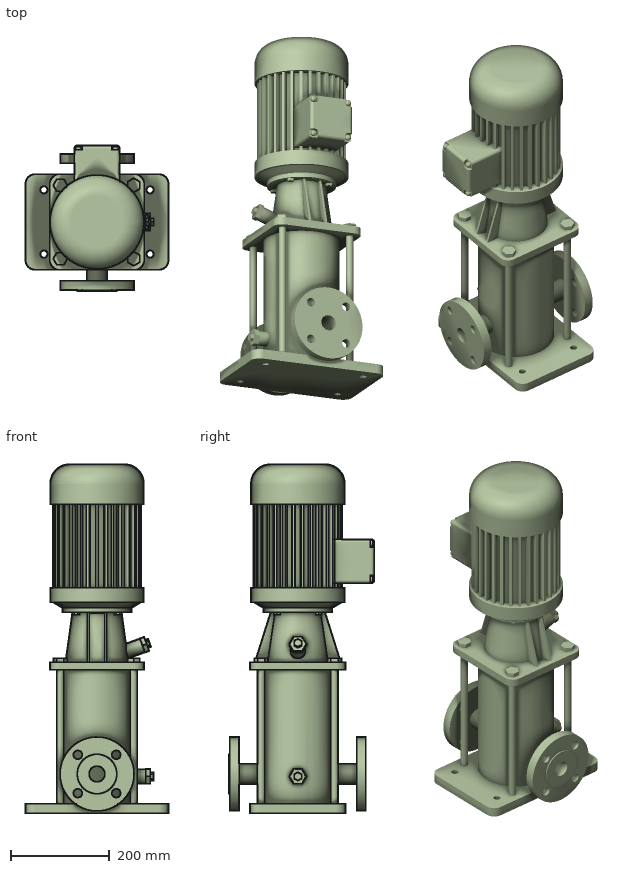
import cadquery as cq
import math

BASE_TOP = 20.0
PLATE_BOTTOM = 290.5
PLATE_TOP = 306.0
ADAPTER_TOP = 407.0
MOTOR_FLANGE_TOP = 416.5
BELL_BOTTOM = 427.0
BELL_TOP = 457.0
COVER_BOTTOM = 626.0
TOTAL_HEIGHT = 707.0

BASE_LENGTH = 290.0
PLATE_LENGTH = 191.0
PLATE_WIDTH = 194.0
PLATE_CORNER_RADIUS = 20.0
BASE_HOLE_DIA = 14.0
BASE_HOLE_X = 107.5
BASE_HOLE_Y = 65.0

CASING_DIA = 155.0
ROD_DIA = 15.0
ROD_OFFSET = 74.0
HEX_ACROSS_FLATS = 25.0
ROD_HEAD_HEIGHT = 8.5

PORT_HEIGHT = 80.0
FLANGE_FACE = 138.0
FLANGE_DIA = 150.0
FLANGE_THICKNESS = 19.0
RAISED_FACE_DIA = 80.0
RAISED_FACE_HEIGHT = 2.0
PIPE_DIA = 42.0
BORE_DIA = 32.0
FLANGE_HOLE_DIA = 18.0
FLANGE_HOLE_OFFSET = 39.0

ADAPTER_BOTTOM_RADIUS = 66.5
ADAPTER_TOP_RADIUS = 50.0
RIB_THICKNESS = 4.0
RIB_OFFSET = 18.0
RIB_BOTTOM_REACH = 87.0
RIB_TOP_REACH = 55.0
CHANNEL_DEPTH = 35.0
ADAPTER_BOLT_OFFSET = 42.5
ADAPTER_BOLT_FLATS = 13.0
ADAPTER_BOLT_HEIGHT = 5.0

MOTOR_DIA = 190.0
MOTOR_FLANGE_DIA = 140.0
BELL_CONE_TOP_DIA = 177.0
COVER_FILLET = 40.0
FIN_COUNT = 30
FIN_THICKNESS = 6.0
FIN_TIP_RADIUS = 90.0
FIN_ROOT_RADIUS = 77.0

BOX_WIDTH = 92.0
BOX_REACH = 155.0
BOX_BOTTOM = 466.0
BOX_TOP = 555.0
BOX_FILLET = 6.5
BOX_NOTCH_SIZE = 16.0
BOX_NOTCH_DEPTH = 8.5
BOX_NOTCH_RADIUS = 7.0
BOX_SCREW_DIA = 11.0
BOX_SCREW_CHAMFER = 3.0

PLUG_NECK_DIA = 30.0
PLUG_HEX_FLATS = 30.5
PLUG_HEX_HEIGHT = 9.0
PLUG_TIP_FLATS = 15.0
PLUG_TIP_HEIGHT = 6.5
DRAIN_HEIGHT = 75.0
DRAIN_NECK_END = 99.0
VENT_TILT = 20.0
VENT_NECK_END = (92.0, 340.0)
VENT_NECK_LENGTH = 56.5


def cylinder(diameter, bottom, top):
    return cq.Workplane("XY").workplane(offset=bottom).circle(diameter / 2).extrude(top - bottom)


def hexagon(across_flats, bottom, height):
    across_corners = across_flats / math.cos(math.radians(30))
    return cq.Workplane("XY").workplane(offset=bottom).polygon(6, across_corners).extrude(height)


def corner_points(x, y):
    return [(sx * x, sy * y) for sx in (-1, 1) for sy in (-1, 1)]


def rounded_plate(length, bottom, top):
    plate = cq.Workplane("XY").workplane(offset=bottom).rect(length, PLATE_WIDTH).extrude(top - bottom)
    return plate.edges("|Z").fillet(PLATE_CORNER_RADIUS)


def base():
    holes = (
        cq.Workplane("XY")
        .pushPoints(corner_points(BASE_HOLE_X, BASE_HOLE_Y))
        .circle(BASE_HOLE_DIA / 2)
        .extrude(BASE_TOP)
    )
    return rounded_plate(BASE_LENGTH, 0, BASE_TOP).cut(holes)


def tie_rods():
    """Four rods between the plates; the hex heads on the +X side are turned by 30 degrees."""
    rods = cq.Workplane("XY")
    for x, y in corner_points(ROD_OFFSET, ROD_OFFSET):
        turn = 30 if x > 0 else 0
        head = hexagon(HEX_ACROSS_FLATS, PLATE_TOP, ROD_HEAD_HEIGHT).rotate((0, 0, 0), (0, 0, 1), turn)
        rod = cylinder(ROD_DIA, BASE_TOP, PLATE_TOP).union(head)
        rods = rods.add(rod.translate((x, y, 0)))
    return rods


def port(raised_face_height):
    """Flanged pipe pointing up +Z from the origin, bored through."""
    end = FLANGE_FACE + raised_face_height
    body = cylinder(PIPE_DIA, 0, FLANGE_FACE)
    body = body.union(cylinder(FLANGE_DIA, FLANGE_FACE - FLANGE_THICKNESS, FLANGE_FACE))
    if raised_face_height > 0:
        body = body.union(cylinder(RAISED_FACE_DIA, FLANGE_FACE, end))
    bolt_holes = (
        cq.Workplane("XY")
        .pushPoints(corner_points(FLANGE_HOLE_OFFSET, FLANGE_HOLE_OFFSET))
        .circle(FLANGE_HOLE_DIA / 2)
        .extrude(end)
    )
    return body.cut(bolt_holes).cut(cylinder(BORE_DIA, 0, end))


def ports():
    """Front port with a raised sealing face and a plain-faced back port."""
    front = port(RAISED_FACE_HEIGHT).rotate((0, 0, 0), (1, 0, 0), 90)
    back = port(0).rotate((0, 0, 0), (1, 0, 0), -90)
    return front.add(back).translate((0, 0, PORT_HEIGHT))


def rib_block():
    """Tapered block spanning front to back, whose outer cheeks are the ribs."""
    return (
        cq.Workplane("YZ")
        .polyline([
            (-RIB_BOTTOM_REACH, PLATE_TOP),
            (RIB_BOTTOM_REACH, PLATE_TOP),
            (RIB_TOP_REACH, ADAPTER_TOP),
            (-RIB_TOP_REACH, ADAPTER_TOP),
        ])
        .close()
        .extrude(RIB_OFFSET + RIB_THICKNESS / 2, both=True)
    )


def rib_channel():
    """Cutter for the back channel, sunk square to the sloping edge and so dipping into the plate."""
    slope_angle = math.atan2(RIB_BOTTOM_REACH - RIB_TOP_REACH, ADAPTER_TOP - PLATE_TOP)
    inward = -CHANNEL_DEPTH * math.cos(slope_angle)
    down = -CHANNEL_DEPTH * math.sin(slope_angle)
    return (
        cq.Workplane("YZ")
        .polyline([
            (RIB_BOTTOM_REACH, PLATE_TOP),
            (RIB_TOP_REACH, ADAPTER_TOP),
            (RIB_TOP_REACH + inward, ADAPTER_TOP + down),
            (RIB_BOTTOM_REACH + inward, PLATE_TOP + down),
        ])
        .close()
        .extrude(RIB_OFFSET - RIB_THICKNESS / 2, both=True)
    )


def adapter():
    """Upper plate with a conical lantern and a pair of sloping ribs on its front and back."""
    channel = rib_channel()
    body = rounded_plate(PLATE_LENGTH, PLATE_BOTTOM, PLATE_TOP).union(rib_block())
    body = body.cut(channel).cut(channel.mirror("XZ"))
    cone = (
        cq.Workplane("XZ")
        .moveTo(0, PLATE_BOTTOM)
        .lineTo(ADAPTER_BOTTOM_RADIUS, PLATE_BOTTOM)
        .lineTo(ADAPTER_TOP_RADIUS, ADAPTER_TOP)
        .lineTo(0, ADAPTER_TOP)
        .close()
        .revolve(360, (0, 0), (0, 1))
    )
    body = body.union(cone)
    bolt = hexagon(ADAPTER_BOLT_FLATS, ADAPTER_TOP - ADAPTER_BOLT_HEIGHT, ADAPTER_BOLT_HEIGHT)
    for x, y in corner_points(ADAPTER_BOLT_OFFSET, ADAPTER_BOLT_OFFSET):
        body = body.union(bolt.translate((x, y, 0)))
    return body


def motor():
    """Flange, bell, finned barrel and domed fan cover."""
    radius = MOTOR_DIA / 2
    bell = (
        cq.Workplane("XZ")
        .moveTo(0, ADAPTER_TOP)
        .lineTo(MOTOR_FLANGE_DIA / 2, ADAPTER_TOP)
        .lineTo(MOTOR_FLANGE_DIA / 2, MOTOR_FLANGE_TOP)
        .lineTo(BELL_CONE_TOP_DIA / 2, BELL_BOTTOM)
        .lineTo(radius, BELL_BOTTOM)
        .lineTo(radius, BELL_TOP)
        .lineTo(0, BELL_TOP)
        .close()
        .revolve(360, (0, 0), (0, 1))
    )
    cover = cylinder(MOTOR_DIA, COVER_BOTTOM, TOTAL_HEIGHT).faces(">Z").edges().fillet(COVER_FILLET)
    barrel = cylinder(2 * FIN_ROOT_RADIUS, BELL_TOP, COVER_BOTTOM)
    fin_span = FIN_TIP_RADIUS - FIN_ROOT_RADIUS / 2
    fins = (
        cq.Workplane("XY")
        .workplane(offset=BELL_TOP)
        .polarArray(FIN_TIP_RADIUS - fin_span / 2, 90, 360, FIN_COUNT)
        .rect(fin_span, FIN_THICKNESS)
        .extrude(COVER_BOTTOM - BELL_TOP)
    )
    return bell.union(barrel.union(fins)).union(cover)


def terminal_box():
    """Rounded box with a chamfered screw head in a notch at each corner of its lid."""
    height = BOX_TOP - BOX_BOTTOM
    box = cq.Workplane("XY").box(BOX_WIDTH, height, BOX_REACH, centered=(True, True, False))
    box = box.edges("|Z or >Z").fillet(BOX_FILLET)
    notch_floor = BOX_REACH - BOX_NOTCH_DEPTH
    for x, y in corner_points(BOX_WIDTH / 2, height / 2):
        notch = (
            cq.Workplane("XY")
            .workplane(offset=notch_floor)
            .center(x, y)
            .rect(2 * BOX_NOTCH_SIZE, 2 * BOX_NOTCH_SIZE)
            .extrude(BOX_NOTCH_DEPTH)
            .edges("|Z")
            .fillet(BOX_NOTCH_RADIUS)
        )
        inset = BOX_NOTCH_SIZE / 2
        screw = cylinder(BOX_SCREW_DIA, notch_floor, BOX_REACH).faces(">Z").chamfer(BOX_SCREW_CHAMFER)
        screw = screw.translate((x - math.copysign(inset, x), y - math.copysign(inset, y), 0))
        box = box.cut(notch).union(screw)
    return box.rotate((0, 0, 0), (1, 0, 0), -90).translate((0, 0, BOX_BOTTOM + height / 2))


def plug(neck_length):
    """Neck, hexagon and small hexagonal tip along +X; the neck ends at the origin."""
    body = cylinder(PLUG_NECK_DIA, -neck_length, 0)
    body = body.union(hexagon(PLUG_HEX_FLATS, 0, PLUG_HEX_HEIGHT).rotate((0, 0, 0), (0, 0, 1), 30))
    body = body.union(hexagon(PLUG_TIP_FLATS, PLUG_HEX_HEIGHT, PLUG_TIP_HEIGHT))
    return body.rotate((0, 0, 0), (0, 1, 0), 90)


def drain_plug():
    return plug(DRAIN_NECK_END).translate((DRAIN_NECK_END, 0, DRAIN_HEIGHT))


def vent_plug():
    x, z = VENT_NECK_END
    return plug(VENT_NECK_LENGTH).rotate((0, 0, 0), (0, 1, 0), -VENT_TILT).translate((x, 0, z))


result = base()
result = result.union(ports())
result = result.union(tie_rods())
result = result.union(cylinder(CASING_DIA, BASE_TOP, PLATE_BOTTOM))
result = result.union(adapter())
result = result.union(motor())
result = result.union(terminal_box())
result = result.union(drain_plug())
result = result.union(vent_plug())